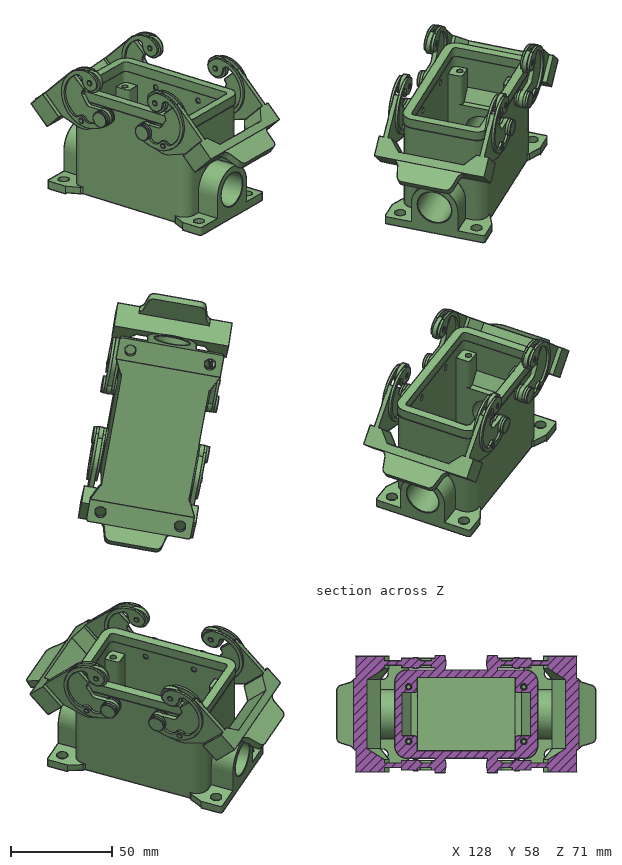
import cadquery as cq
import math

BODY_LENGTH = 70.7
BODY_WIDTH = 43.8
BODY_BOTTOM = 0.6
BODY_CORNER = 6.3
BODY_TOP = 57.0
COLLAR_BOTTOM = 51.7
COLLAR_STEP = 0.4

CAVITY_LENGTH = 63.0
CAVITY_WIDTH = 35.6
CAVITY_CORNER = 1.8
CHAMBER_CORNER = 2.3
CAVITY_RELIEF = 0.19
FLOOR_TOP = 4.2
LEDGE_START = 24.0
LEDGE_TOP = 28.8
RAMP_START = 27.1
RAMP_TOP = 34.7

POST_TOP = 45.7
POST_Y = 10.6
POST_ROUND = 1.5
SCREW_X = 28.4
SCREW_Y = 13.5
SCREW_DIAMETER = 3.1
SCREW_DEPTH = 7.7
PILOT_DIAMETER = 2.0
PILOT_DEPTH = 10.2

END_X = 47.0
ENTRY_Z = 15.4
ENTRY_RADIUS = 12.2
BORE_RADIUS = 8.8
BORE_CHAMFER = 0.3
FLANGE_HALF_WIDTH = 26.1
FLANGE_TOP = 4.2
FLANGE_STRAIGHT_END = 35.8
FLANGE_CORNER = 1.3
WING_END = 28.9
WING_TIP = 0.9
MOUNT_X = 41.3
MOUNT_Y = 20.0
MOUNT_DIAMETER = 5.5

ARM_INNER = 24.0
ARM_THICKNESS = 2.3
HOOK_THICKNESS = 1.3
ARM_OUTER = ARM_INNER + ARM_THICKNESS
HOOK_INNER = ARM_INNER - HOOK_THICKNESS
HOOK_OUTER = ARM_OUTER + HOOK_THICKNESS

PEG_X, PEG_Z = -12.9, 47.6
PEG_RADIUS = 4.1
ARM_EYE_RADIUS = 4.4
HOOK_EYE_RADIUS = 4.2
PEG_SPAN = 58.0
PEG_END = PEG_SPAN / 2
PEG_CHAMFER = 0.3
PEG_HOLE_DIAMETER = 2.8
PEG_HOLE_DEPTH = 0.8

ROLLER_X, ROLLER_Z = -20.0, 65.3
ROLLER_RADIUS = 5.5
PIN_X, PIN_Z = -25.0, 43.4
RIVET_RADIUS = 1.4
RIVET_HEAD = 0.32
HOOK_X, HOOK_Z = -21.9, 55.7
HOOK_RADIUS = 15.2
ARM_REACH = 32.0

BAR_X, BAR_Z = -55.0, 44.9
BAR_HALF_WIDTH = 28.7
BAR_LENGTH = 10.1
BAR_DEPTH = 14.0
BAR_FLOOR = 4.1
BAR_GAP_FLOOR = 17.0
BAR_GAP_TOP = 22.4
LEVER_TILT = 45.0

TAB_X, TAB_Z = -64.0, 39.0
TAB_TILT = 33.0
TAB_LENGTH = 12.8
TAB_THICKNESS = 4.0
TAB_TIP_HALF = 13.7
TAB_ROOT_HALF = 15.5
TAB_SIDE_END = 7.2
TAB_FLARE_MID = 9.1
TAB_FLARE_MID_HALF = 16.3
TAB_FLARE_END = 10.4
TAB_FLARE_HALF = 17.7
TAB_CORNER = 3.1


def rounded_block(length, width, bottom, top, radius):
    block = cq.Workplane("XY").workplane(offset=bottom).rect(length, width).extrude(top - bottom)
    return block.edges("|Z").fillet(radius)


def both_ends(part):
    return part.union(part.mirror("YZ"))


def both_sides(part):
    return part.union(part.mirror("XZ"))


def side_plate(inner, x=0.0, z=0.0):
    """Sketch plane facing -Y at distance `inner` from the middle, centred on (x, z)."""
    return cq.Workplane("XZ", origin=(x, -inner, z))


def housing_shell():
    body = rounded_block(BODY_LENGTH, BODY_WIDTH, BODY_BOTTOM, COLLAR_BOTTOM, BODY_CORNER)
    collar = rounded_block(
        BODY_LENGTH + 2 * COLLAR_STEP, BODY_WIDTH + 2 * COLLAR_STEP, COLLAR_BOTTOM, BODY_TOP, BODY_CORNER
    )
    return body.union(collar)


def cavity():
    mouth = rounded_block(CAVITY_LENGTH, CAVITY_WIDTH, FLOOR_TOP, BODY_TOP, CAVITY_CORNER)
    chamber = rounded_block(
        CAVITY_LENGTH + 2 * CAVITY_RELIEF,
        CAVITY_WIDTH + 2 * CAVITY_RELIEF,
        FLOOR_TOP,
        COLLAR_BOTTOM,
        CHAMBER_CORNER,
    )
    return mouth.union(chamber)


def inner_ledge():
    """Thick end wall behind a cable entry, with a ramp up to the housing wall."""
    wall = CAVITY_LENGTH / 2 + CAVITY_RELIEF
    outline = [
        (LEDGE_START, FLOOR_TOP),
        (LEDGE_START, LEDGE_TOP),
        (RAMP_START, LEDGE_TOP),
        (wall, RAMP_TOP),
        (wall, FLOOR_TOP),
    ]
    return cq.Workplane("XZ").polyline(outline).close().extrude(CAVITY_WIDTH / 2 + CAVITY_RELIEF, both=True)


def screw_post():
    length = CAVITY_LENGTH / 2 + CAVITY_RELIEF - LEDGE_START
    width = CAVITY_WIDTH / 2 + CAVITY_RELIEF - POST_Y
    post = cq.Workplane("XY", origin=(LEDGE_START, POST_Y, FLOOR_TOP)).rect(length, width, centered=False)
    post = post.extrude(POST_TOP - FLOOR_TOP).edges("|Z and <X and <Y").fillet(POST_ROUND)
    screw = cq.Workplane("XY", origin=(SCREW_X, SCREW_Y, POST_TOP))
    post = post.cut(screw.circle(SCREW_DIAMETER / 2).extrude(-SCREW_DEPTH))
    return post.cut(screw.circle(PILOT_DIAMETER / 2).extrude(-PILOT_DEPTH))


def cable_entry():
    start = BODY_LENGTH / 2 - BODY_CORNER / 2
    plane = cq.Workplane("YZ", origin=(start, 0, 0))
    outline = (
        plane.moveTo(-ENTRY_RADIUS, BODY_BOTTOM)
        .lineTo(-ENTRY_RADIUS, ENTRY_Z)
        .threePointArc((0, ENTRY_Z + ENTRY_RADIUS), (ENTRY_RADIUS, ENTRY_Z))
        .lineTo(ENTRY_RADIUS, BODY_BOTTOM)
        .close()
    )
    return outline.extrude(END_X - start)


def entry_bore():
    start = cq.Workplane("YZ", origin=(LEDGE_START, 0, ENTRY_Z))
    bore = start.circle(BORE_RADIUS).extrude(END_X - LEDGE_START)
    mouth = (
        cq.Workplane("YZ", origin=(END_X - BORE_CHAMFER, 0, ENTRY_Z))
        .circle(BORE_RADIUS)
        .workplane(offset=BORE_CHAMFER)
        .circle(BORE_RADIUS + BORE_CHAMFER)
        .loft()
    )
    return bore.union(mouth)


def flange():
    """Mounting flange across one end, with wings that run back to the housing sides."""
    wall = BODY_WIDTH / 2
    half = [
        (END_X, FLANGE_HALF_WIDTH),
        (FLANGE_STRAIGHT_END, FLANGE_HALF_WIDTH),
        (WING_END, wall + WING_TIP),
        (WING_END - WING_TIP, wall),
        (WING_END - WING_TIP, 0),
    ]
    outline = half + [(x, -y) for x, y in reversed(half[:-1])]
    plate = cq.Workplane("XY", origin=(0, 0, BODY_BOTTOM)).polyline(outline).close()
    plate = plate.extrude(FLANGE_TOP - BODY_BOTTOM)
    foot = cq.Workplane("XY").rect(END_X - FLANGE_STRAIGHT_END, 2 * FLANGE_HALF_WIDTH).extrude(BODY_BOTTOM)
    foot = foot.translate(((END_X + FLANGE_STRAIGHT_END) / 2, 0, 0))
    plate = plate.union(foot).edges("|Z and >X").fillet(FLANGE_CORNER)
    holes = cq.Workplane("XY").pushPoints([(MOUNT_X, MOUNT_Y), (MOUNT_X, -MOUNT_Y)])
    return plate.cut(holes.circle(MOUNT_DIAMETER / 2).extrude(FLANGE_TOP))


def crossbar():
    """Tilted U-shaped bar; drawn flat with its length along +X, then tilted about its outer edge."""
    bar = cq.Workplane("XY").box(BAR_LENGTH, 2 * BAR_HALF_WIDTH, BAR_DEPTH, centered=(False, True, False))
    gap = (
        cq.Workplane("XY")
        .polyline(
            [
                (BAR_FLOOR, -BAR_GAP_FLOOR),
                (BAR_LENGTH, -BAR_GAP_TOP),
                (BAR_LENGTH, BAR_GAP_TOP),
                (BAR_FLOOR, BAR_GAP_FLOOR),
            ]
        )
        .close()
        .extrude(BAR_DEPTH)
    )
    bar = bar.cut(gap).translate((0, 0, -BAR_DEPTH))
    return bar.rotate((0, 0, 0), (0, 1, 0), -LEVER_TILT).translate((BAR_X, 0, BAR_Z))


def finger_tab():
    outline = (
        cq.Workplane("XY")
        .moveTo(0, -TAB_TIP_HALF)
        .lineTo(TAB_SIDE_END, -TAB_ROOT_HALF)
        .threePointArc((TAB_FLARE_MID, -TAB_FLARE_MID_HALF), (TAB_FLARE_END, -TAB_FLARE_HALF))
        .lineTo(TAB_LENGTH, -TAB_FLARE_HALF)
        .lineTo(TAB_LENGTH, TAB_FLARE_HALF)
        .lineTo(TAB_FLARE_END, TAB_FLARE_HALF)
        .threePointArc((TAB_FLARE_MID, TAB_FLARE_MID_HALF), (TAB_SIDE_END, TAB_ROOT_HALF))
        .lineTo(0, TAB_TIP_HALF)
        .close()
    )
    tab = outline.extrude(-TAB_THICKNESS).edges("|Z and <X").fillet(TAB_CORNER)
    return tab.rotate((0, 0, 0), (0, 1, 0), -TAB_TILT).translate((TAB_X, 0, TAB_Z))


def arm():
    """Middle plate from the crossbar to the pivot peg."""
    along = math.cos(math.radians(LEVER_TILT))
    bar_end = (BAR_X + BAR_LENGTH * along, BAR_Z + BAR_LENGTH * along)
    tip = (BAR_X + ARM_REACH * along, BAR_Z + ARM_REACH * along)
    bar_heel = (bar_end[0] + BAR_DEPTH * along, bar_end[1] - BAR_DEPTH * along)
    plate = (
        side_plate(ARM_INNER)
        .moveTo(*bar_end)
        .lineTo(*tip)
        .lineTo(-24.6, 60.3)
        .lineTo(-25.7, 58.0)
        .lineTo(-25.6, 57.0)
        .lineTo(-22.9, 53.0)
        .threePointArc((-22.1, 52.1), (-20.7, COLLAR_BOTTOM))
        .lineTo(PEG_X, COLLAR_BOTTOM)
        .lineTo(PEG_X, 43.5)
        .lineTo(-19.8, 40.2)
        .threePointArc((-24.6, 38.5), (-29.0, 39.3))
        .lineTo(*bar_heel)
        .close()
        .extrude(ARM_THICKNESS)
    )
    eye = side_plate(ARM_INNER, PEG_X, PEG_Z).circle(ARM_EYE_RADIUS).extrude(ARM_THICKNESS)
    return plate.union(eye)


def hook(inner):
    """Crescent plate that curls from the pivot peg round to the roller."""
    curl_top = (-20.6, 70.8)
    crescent = (
        side_plate(inner)
        .moveTo(*curl_top)
        .threePointArc((-27.9, 70.0), (-32.8, 66.8))
        .threePointArc((HOOK_X - HOOK_RADIUS, HOOK_Z), (HOOK_X, HOOK_Z - HOOK_RADIUS))
        .threePointArc((-16.0, 41.6), (-11.4, 43.6))
        .lineTo(PEG_X, PEG_Z)
        .lineTo(-16.4, 46.1)
        .threePointArc((-19.2, 43.4), (-22.5, 44.2))
        .threePointArc((PIN_X, 46.0), (-27.4, 44.8))
        .threePointArc((-29.3, 44.9), (-31.0, 46.1))
        .threePointArc((-35.5, 56.5), (-27.1, 67.8))
        .threePointArc((-25.1, 67.1), (-24.3, ROLLER_Z))
        .threePointArc((-23.0, 62.2), (ROLLER_X, 61.0))
        .threePointArc((-15.6, 65.1), (-17.2, 68.6))
        .threePointArc((-18.7, 69.8), curl_top)
        .close()
        .extrude(HOOK_THICKNESS)
    )
    eye = side_plate(inner, PEG_X, PEG_Z).circle(HOOK_EYE_RADIUS).extrude(HOOK_THICKNESS)
    return crescent.union(eye)


def rivet(x, z):
    length = HOOK_OUTER - HOOK_INNER + 2 * RIVET_HEAD
    pin = side_plate(HOOK_INNER - RIVET_HEAD, x, z).circle(RIVET_RADIUS).extrude(length)
    return pin.faces("<Y or >Y").chamfer(RIVET_HEAD)


def pivot_peg():
    wall = CAVITY_WIDTH / 2 + CAVITY_RELIEF
    peg = side_plate(wall, PEG_X, PEG_Z).circle(PEG_RADIUS).extrude(PEG_END - wall)
    return peg.faces("<Y").chamfer(PEG_CHAMFER)


def peg_hole():
    """Blind hole in the inner face of the housing wall behind a peg."""
    wall = CAVITY_WIDTH / 2 + CAVITY_RELIEF
    return side_plate(wall, PEG_X, PEG_Z).circle(PEG_HOLE_DIAMETER / 2).extrude(PEG_HOLE_DEPTH)


def lever_side():
    side = arm().union(hook(HOOK_INNER)).union(hook(ARM_OUTER))
    side = side.union(side_plate(ARM_INNER, ROLLER_X, ROLLER_Z).circle(ROLLER_RADIUS).extrude(ARM_THICKNESS))
    for x, z in [(ROLLER_X, ROLLER_Z), (PIN_X, PIN_Z)]:
        side = side.union(rivet(x, z))
    return side.union(pivot_peg())


def lever():
    return both_sides(lever_side()).union(crossbar()).union(finger_tab())


housing = housing_shell().union(both_ends(cable_entry().union(flange())))
housing = housing.cut(cavity())
housing = housing.union(both_ends(inner_ledge().union(both_sides(screw_post()))))
housing = housing.cut(both_ends(entry_bore()))

result = housing.union(both_ends(lever())).cut(both_ends(both_sides(peg_hole())))